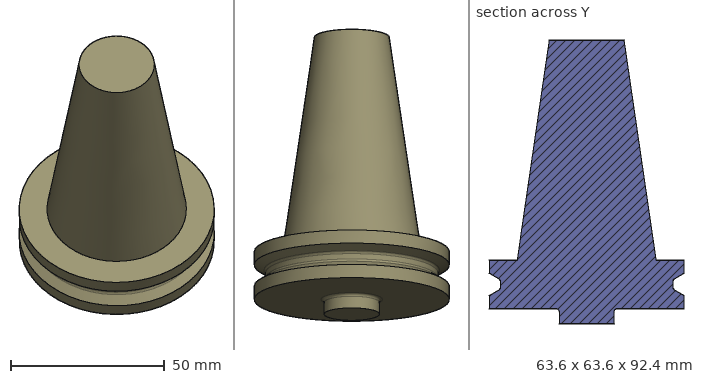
import cadquery as cq
import math


GAUGE_DIAMETER = 44.45
TAPER_RATIO = 7 / 24
CONE_LENGTH = 68.4

FLANGE_DIAMETER = 63.55
FLANGE_TOP_DEPTH = 3.2
FLANGE_THICKNESS = 15.9

GROOVE_FLOOR_DIAMETER = 56.25
GROOVE_MOUTH_WIDTH = 7.15
GROOVE_WALL_ANGLE = 30
GROOVE_FILLET = 1.0

NECK_DIAMETER = 18.0
NECK_LENGTH = 4.9
NECK_FILLET = 1.0

cone_top_z = CONE_LENGTH
flange_top_z = -FLANGE_TOP_DEPTH
flange_bottom_z = flange_top_z - FLANGE_THICKNESS
groove_center_z = (flange_top_z + flange_bottom_z) / 2
neck_bottom_z = flange_bottom_z - NECK_LENGTH


def cone_radius(z):
    """Radius of the taper at height z above the gauge plane."""
    return (GAUGE_DIAMETER - TAPER_RATIO * z) / 2


def make_cone():
    """Taper running from the upper flange face to the small end."""
    return (
        cq.Workplane("XZ")
        .moveTo(0, flange_top_z)
        .lineTo(cone_radius(flange_top_z), flange_top_z)
        .lineTo(cone_radius(cone_top_z), cone_top_z)
        .lineTo(0, cone_top_z)
        .close()
        .revolve(360, (0, 0, 0), (0, 1, 0))
    )


def make_flange():
    """Disc with a V-groove whose floor corners are rounded."""
    outer_radius = FLANGE_DIAMETER / 2
    floor_radius = GROOVE_FLOOR_DIAMETER / 2
    wall_height = (outer_radius - floor_radius) * math.tan(math.radians(GROOVE_WALL_ANGLE))
    mouth_half = GROOVE_MOUTH_WIDTH / 2
    floor_half = mouth_half - wall_height

    flange = (
        cq.Workplane("XZ")
        .moveTo(0, flange_bottom_z)
        .lineTo(outer_radius, flange_bottom_z)
        .lineTo(outer_radius, groove_center_z - mouth_half)
        .lineTo(floor_radius, groove_center_z - floor_half)
        .lineTo(floor_radius, groove_center_z + floor_half)
        .lineTo(outer_radius, groove_center_z + mouth_half)
        .lineTo(outer_radius, flange_top_z)
        .lineTo(0, flange_top_z)
        .close()
        .revolve(360, (0, 0, 0), (0, 1, 0))
    )
    floor_corners = cq.selectors.RadiusNthSelector(0)
    return flange.edges("%CIRCLE").edges(floor_corners).fillet(GROOVE_FILLET)


def make_neck():
    """Short stub under the flange, flared into it by a concave fillet."""
    radius = NECK_DIAMETER / 2
    return (
        cq.Workplane("XZ")
        .moveTo(0, neck_bottom_z)
        .lineTo(radius, neck_bottom_z)
        .lineTo(radius, flange_bottom_z - NECK_FILLET)
        .radiusArc((radius + NECK_FILLET, flange_bottom_z), NECK_FILLET)
        .lineTo(0, flange_bottom_z)
        .close()
        .revolve(360, (0, 0, 0), (0, 1, 0))
    )


result = make_flange().union(make_cone()).union(make_neck())